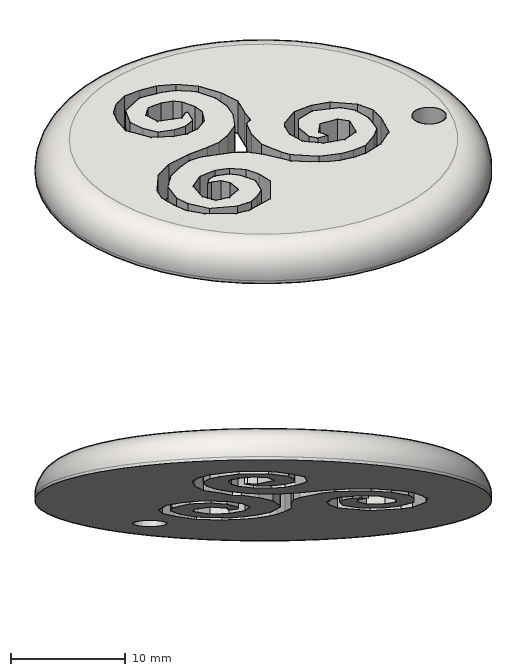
import cadquery as cq


disc_diameter = 40
thickness = 3.3
rim_radius = 3.0

cord_hole_diameter = 3.0
cord_hole_margin = 0.4

flat_top_radius = disc_diameter / 2 - rim_radius
cord_hole_y = flat_top_radius - cord_hole_margin - cord_hole_diameter / 2


top_far_wall = [
    (2.6, -0.7), (4.4, 1.3), (5.0, 2.8), (5.4, 4.3), (5.5, 5.4), (5.3, 6.8), (4.85, 8),
    (3.65, 9.65), (1.8, 10.9), (-0.8, 10.95), (-2.35, 10.7), (-3.7, 9.65), (-4.75, 7.45),
    (-4.65, 5.7), (-3.95, 3.95), (-2.3, 2.6), (-1.75, 2.45), (-0.3, 2.45), (1.3, 3.2),
]
top_eye = [(2.1, 4.9), (2, 6.85), (0.95, 8.15), (-1.05, 8.15), (-1.65, 7.25), (-1.3, 5.5), (0.1, 5.0)]
top_tongue_wall = [
    (0.9, 5.6), (1.1, 4.65), (0.6, 3.95), (-1.1, 3.5), (-2.6, 3.95), (-3.7, 5.5), (-3.55, 8.05),
    (-2.7, 9.2), (-1.1, 9.9), (0.9, 10.1), (2.1, 9.5), (3.55, 8.3), (4.1, 7.05), (4.35, 5.8),
    (4.3, 3.8), (3.3, 1.5), (2.6, 0.85), (0.8, -0.4), (-1.2, -0.75), (-3.1, -0.65),
]

left_far_wall = [
    (-3.7, -0.1), (-5.05, -0.25), (-7.15, -0.25), (-9.0, -1.25), (-10.7, -2.8), (-11.55, -4.6), (-11.75, -6.3),
    (-11.4, -8), (-10.8, -9.5), (-9.6, -10.65), (-8.25, -11.3), (-6.6, -11.35), (-4.85, -11.1),
    (-3.1, -9.35), (-2.7, -7.4), (-2.8, -6.1), (-3.45, -4.95), (-4.65, -4.05), (-6.2, -3.75),
]
left_eye = [
    (-7.3, -4.1), (-8.4, -5.0), (-8.75, -5.7), (-8.7, -6.8), (-8.2, -8.1), (-7.05, -8.7),
    (-5.7, -8), (-5.7, -5.75), (-6.45, -5.3),
]
left_tongue_wall = [
    (-6.55, -5.0), (-4.95, -5.0), (-4.1, -5.9), (-3.8, -7.0), (-3.8, -8.5), (-4.8, -9.6),
    (-6.1, -10.35), (-8.3, -10.15), (-10.1, -8.35), (-10.5, -6.3), (-10.5, -4.95), (-9.85, -3.3),
    (-8.25, -1.95), (-6.6, -1.4), (-5.0, -1.3), (-3.05, -1.7), (-1.6, -2.75), (-0.55, -3.9),
]

right_far_wall = [
    (0.05, -5.1), (0.75, -7.0), (2, -9.2), (3.6, -10.65), (6.1, -11.5), (7.5, -11.5), (9.05, -10.85),
    (10.3, -10.1), (11.35, -8.65), (12.1, -6), (11.85, -4.75), (10.35, -2.35), (7.35, -1.5),
    (5.85, -2.1), (4.8, -2.95), (4.15, -4.3), (4.15, -5.6), (4.85, -7.2),
]
right_eye = [
    (6.3, -8.25), (8.3, -8), (9.3, -7.05), (9.1, -5.75), (8, -4.6), (6.65, -4.95),
    (6.1, -5.65), (6.1, -6.5),
]
right_tongue_wall = [
    (6.2, -6.9), (5.6, -6.65), (5.1, -6), (5.1, -4.6), (5.6, -3.75), (6.9, -2.7), (8.7, -2.7),
    (9.6, -3.35), (10.4, -4.1), (10.85, -5.5), (10.55, -8), (9.2, -9.55), (7.95, -10.25), (5.85, -10.4),
    (4.1, -9.65), (2.8, -8.45), (1.9, -7.3), (1.5, -6.15), (1.5, -3.15), (1.8, -2),
]

triskele_outline = (
    top_far_wall + top_eye + top_tongue_wall
    + left_far_wall + left_eye + left_tongue_wall
    + right_far_wall + right_eye + right_tongue_wall
)


def domed_disc():
    disc = cq.Workplane("XY").circle(disc_diameter / 2).extrude(thickness)
    return disc.faces(">Z").edges().fillet(rim_radius)


def cord_hole():
    return cq.Workplane("XY").center(0, cord_hole_y).circle(cord_hole_diameter / 2).extrude(thickness)


def triskele():
    return cq.Workplane("XY").polyline(triskele_outline).close().extrude(thickness)


result = domed_disc().cut(cord_hole()).cut(triskele())